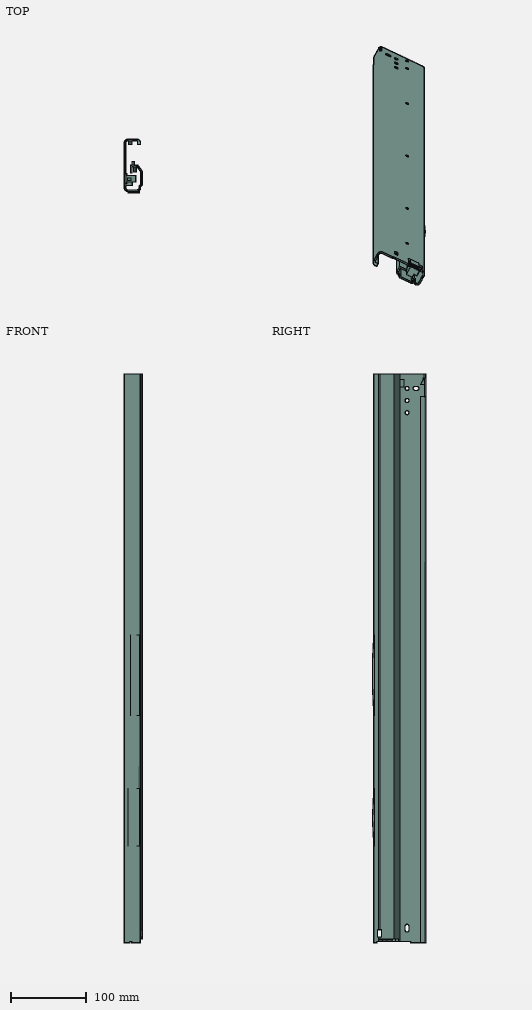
import cadquery as cq

LENGTH = 750.0
RAIL_WIDTH = 24.0
TOP_Y = 70.8
PAD_HEIGHT = 1.7
THICKNESS = 2.2
BEND_RADIUS = 5.0

BOTTOM_Y = PAD_HEIGHT
FLANGE_WIDTH = RAIL_WIDTH - THICKNESS
LIP_WIDTH = 4.5
LIP_BOTTOM_Y = 63.5
JOGGLE_START_Y = 8.0
JOGGLE_END_Y = JOGGLE_START_Y + THICKNESS
JOGGLE_INNER_SHIFT = 0.8
WALL_TOP_Y = 28.5
GUIDE_TOP_Y = 36.5
GUIDE_RIGHT_X = 18.0
GUIDE_LEFT_X = 8.3
GUIDE_LEG_BOTTOM_Y = 26.0
SLOPE_INNER_SHIFT = 1.0

PITCH = 32.0
HOLE_DIAMETER = 5.0
SCREW_HOLE_DIAMETER = 4.0
SCREW_ROW_Y = 29.7
FIRST_SCREW_Z = 75.0
SCREW_STEPS = (0, 4, 10, 16, 20)
END_SCREW_Z = 742.0
HOLE_ROW_Y = SCREW_ROW_Y + PITCH / 2
UPPER_SCREW_Z = FIRST_SCREW_Z + SCREW_STEPS[-1] * PITCH
UPPER_SLOT_Y = 57.5
UPPER_SLOT_LENGTH = 7.5
LOWER_SLOT_Z = 19.4
LOWER_SLOT_LENGTH = 10.0

PAD_END_X = 20.0
LONG_PAD = {"start_x": 8.3, "z": (300.0, 337.0, 373.0, 406.0)}
SHORT_PAD = {"start_x": 5.3, "z": (127.5, 162.5, 166.0, 203.5)}

STOP_BOTTOM_Z = 736.0
STOP_TOP_Z = 746.0
FLANGE_STOP_DEPTH = 5.0
FLANGE_STOP_X = (5.5, 10.5)
GUIDE_STOP_X = (12.0, 16.0)
GUIDE_STOP_DEPTH = 7.0
TAB_X = (10.3, 13.5)
TAB_TOP_Y = 41.5
TAB_Z = (733.0, 743.0)

FLANGE_CLEAR_X = 3.0
FLANGE_END_Z = 745.0
LIP_CLEAR_X = 16.8
LIP_END_Z = 720.0
BEND_SLOT_Y = (67.0, 69.2)
BEND_SLOT_Z = (737.5, 745.0)

END_NOTCH_Y = (6.0, 50.3)
END_NOTCH_DEPTH = 1.6
WALL_START_Z = 5.0
FLANGE_NOTCH_X = 8.6
FLANGE_NOTCH_WIDTH = 2.4

WINDOW_Y = (12.0, 27.5)
WINDOW_Z = (4.0, 22.0)
RELIEF_Y = (7.0, WINDOW_Y[0])
RELIEF_Z = (8.0, 17.0)
TONGUE_Y = (13.0, 19.5)
TONGUE_Z = (END_NOTCH_DEPTH, WINDOW_Z[0])
BUTTON_Y = (WINDOW_Y[0], 24.5)
BUTTON_BOTTOM_Z = 10.0
GRIP_RIB_HEIGHT = 1.0
GRIP_RIB_PITCH = 2.0
GRIP_RIB_COUNT = 3
GRIP_FLOOR_X = 1.0
PLATE_TOP_Y = 25.5
PLATE_THICKNESS = 1.5
FOOT_BOTTOM_Y = 9.5
HEAD_X = 15.5
HEAD_Y = (14.0, 23.0)
FOOT_X = 11.0
LATCH_POCKET_X = (4.5, 9.0)
LATCH_POCKET_Y = (16.5, 19.5)
LATCH_POCKET_DEPTH = 6.0


def block(x, y, z):
    """Box between the (low, high) pairs x, y and z."""
    solid = cq.Workplane("XY").box(x[1] - x[0], y[1] - y[0], z[1] - z[0], centered=False)
    return solid.translate((x[0], y[0], z[0]))


def side_prism(x, points):
    """Outline of (Y, Z) points, extruded over the (low, high) pair x."""
    return cq.Workplane("YZ").workplane(offset=x[0]).polyline(points).close().extrude(x[1] - x[0])


def rail_profile():
    outline = [
        (0, BOTTOM_Y),
        (FLANGE_WIDTH, BOTTOM_Y),
        (FLANGE_WIDTH, JOGGLE_START_Y),
        (RAIL_WIDTH, JOGGLE_END_Y),
        (RAIL_WIDTH, WALL_TOP_Y),
        (GUIDE_RIGHT_X, GUIDE_TOP_Y),
        (GUIDE_LEFT_X, GUIDE_TOP_Y),
        (GUIDE_LEFT_X, GUIDE_LEG_BOTTOM_Y),
        (GUIDE_LEFT_X + THICKNESS, GUIDE_LEG_BOTTOM_Y),
        (GUIDE_LEFT_X + THICKNESS, GUIDE_TOP_Y - THICKNESS),
        (GUIDE_RIGHT_X - SLOPE_INNER_SHIFT, GUIDE_TOP_Y - THICKNESS),
        (RAIL_WIDTH - THICKNESS, WALL_TOP_Y - SLOPE_INNER_SHIFT),
        (RAIL_WIDTH - THICKNESS, JOGGLE_END_Y + JOGGLE_INNER_SHIFT),
        (FLANGE_WIDTH - THICKNESS, JOGGLE_START_Y + JOGGLE_INNER_SHIFT),
        (FLANGE_WIDTH - THICKNESS, BOTTOM_Y + THICKNESS),
        (THICKNESS, BOTTOM_Y + THICKNESS),
        (THICKNESS, TOP_Y - THICKNESS),
        (FLANGE_WIDTH - LIP_WIDTH, TOP_Y - THICKNESS),
        (FLANGE_WIDTH - LIP_WIDTH, LIP_BOTTOM_Y),
        (FLANGE_WIDTH, LIP_BOTTOM_Y),
        (FLANGE_WIDTH, TOP_Y),
        (0, TOP_Y),
    ]
    profile = cq.Workplane("XY").polyline(outline).close().extrude(LENGTH)
    bends = [
        (0, BOTTOM_Y, BEND_RADIUS),
        (FLANGE_WIDTH, BOTTOM_Y, BEND_RADIUS),
        (FLANGE_WIDTH, TOP_Y, BEND_RADIUS),
        (0, TOP_Y, BEND_RADIUS),
        (THICKNESS, BOTTOM_Y + THICKNESS, BEND_RADIUS - THICKNESS),
        (FLANGE_WIDTH - THICKNESS, BOTTOM_Y + THICKNESS, BEND_RADIUS - THICKNESS),
        (THICKNESS, TOP_Y - THICKNESS, BEND_RADIUS - THICKNESS),
    ]
    for x, y, radius in bends:
        corner = cq.selectors.NearestToPointSelector((x, y, LENGTH / 2))
        profile = profile.edges("|Z").edges(corner).fillet(radius)
    return profile


def pressed_pad(start_x, z):
    """Ramped pad on the outer face of the lower flange; z holds foot, crest, crest, foot."""
    foot_low, crest_low, crest_high, foot_high = z
    root_y = BOTTOM_Y + THICKNESS / 2
    return side_prism(
        (start_x, PAD_END_X),
        [
            (root_y, foot_low),
            (BOTTOM_Y, foot_low),
            (0, crest_low),
            (0, crest_high),
            (BOTTOM_Y, foot_high),
            (root_y, foot_high),
        ],
    )


def pressed_stop(x, face_y, depth):
    """Wedge hanging from an inner face at face_y, with its ramp towards the upper end."""
    root_y = face_y + THICKNESS / 2
    return side_prism(
        x,
        [
            (root_y, STOP_BOTTOM_Z),
            (face_y - depth, STOP_BOTTOM_Z),
            (face_y, STOP_TOP_Z),
            (root_y, STOP_TOP_Z),
        ],
    )


def web_holes(diameter, places):
    through_web = cq.Workplane("YZ").pushPoints(places)
    return through_web.circle(diameter / 2).extrude(THICKNESS)


def web_slot(y, z, length, angle):
    """Slot through the web; angle 0 runs along Y and 90 along Z."""
    return cq.Workplane("YZ").center(y, z).slot2D(length, HOLE_DIAMETER, angle).extrude(THICKNESS)


def make_rail():
    rail = rail_profile()

    rail = rail.union(pressed_pad(**LONG_PAD)).union(pressed_pad(**SHORT_PAD))
    rail = rail.union(pressed_stop(FLANGE_STOP_X, TOP_Y - THICKNESS, FLANGE_STOP_DEPTH))
    rail = rail.union(pressed_stop(GUIDE_STOP_X, GUIDE_TOP_Y - THICKNESS, GUIDE_STOP_DEPTH))
    rail = rail.union(block(TAB_X, (GUIDE_TOP_Y - THICKNESS, TAB_TOP_Y), TAB_Z))

    flange_y = (LIP_BOTTOM_Y, TOP_Y)
    rail = rail.cut(block((FLANGE_CLEAR_X, RAIL_WIDTH), flange_y, (FLANGE_END_Z, LENGTH)))
    rail = rail.cut(block((LIP_CLEAR_X, RAIL_WIDTH), flange_y, (LIP_END_Z, LENGTH)))
    rail = rail.cut(block((0, THICKNESS), BEND_SLOT_Y, BEND_SLOT_Z))

    screw_places = [(SCREW_ROW_Y, FIRST_SCREW_Z + step * PITCH) for step in SCREW_STEPS]
    screw_places.append((SCREW_ROW_Y, END_SCREW_Z))
    hole_places = [(HOLE_ROW_Y, UPPER_SCREW_Z + step * PITCH / 2) for step in (-1, 0, 1)]
    rail = rail.cut(web_holes(SCREW_HOLE_DIAMETER, screw_places))
    rail = rail.cut(web_holes(HOLE_DIAMETER, hole_places))
    rail = rail.cut(web_slot(UPPER_SLOT_Y, UPPER_SCREW_Z + PITCH / 2, UPPER_SLOT_LENGTH, 0))
    rail = rail.cut(web_slot(HOLE_ROW_Y, LOWER_SLOT_Z, LOWER_SLOT_LENGTH, 90))

    web_x = (0, THICKNESS)
    rail = rail.cut(block(web_x, WINDOW_Y, WINDOW_Z))
    rail = rail.cut(block(web_x, TONGUE_Y, TONGUE_Z))
    rail = rail.cut(block((0, RAIL_WIDTH), RELIEF_Y, RELIEF_Z))

    wall_x = (FLANGE_WIDTH - THICKNESS, RAIL_WIDTH)
    notch_x = (FLANGE_NOTCH_X - FLANGE_NOTCH_WIDTH / 2, FLANGE_NOTCH_X + FLANGE_NOTCH_WIDTH / 2)
    rail = rail.cut(block((0, RAIL_WIDTH), END_NOTCH_Y, (0, END_NOTCH_DEPTH)))
    rail = rail.cut(block(wall_x, (JOGGLE_START_Y, GUIDE_TOP_Y), (0, WALL_START_Z)))
    rail = rail.cut(block(notch_x, (BOTTOM_Y, TOP_Y), (0, END_NOTCH_DEPTH)))
    return rail


def make_latch():
    low_z, high_z = WINDOW_Z

    plate_x = (THICKNESS, THICKNESS + PLATE_THICKNESS)
    latch = block(plate_x, (WINDOW_Y[0], PLATE_TOP_Y), WINDOW_Z)
    latch = latch.union(block((THICKNESS, HEAD_X), HEAD_Y, WINDOW_Z))
    latch = latch.union(block((THICKNESS, FOOT_X), (FOOT_BOTTOM_Y, HEAD_Y[0]), (low_z, RELIEF_Z[0])))

    latch = latch.union(block((0, THICKNESS), BUTTON_Y, (BUTTON_BOTTOM_Z, high_z)))
    latch = latch.union(block((GRIP_FLOOR_X, THICKNESS), BUTTON_Y, (low_z, BUTTON_BOTTOM_Z)))
    latch = latch.union(block((0, THICKNESS), TONGUE_Y, (TONGUE_Z[0], low_z + GRIP_RIB_HEIGHT)))
    for index in range(GRIP_RIB_COUNT):
        rib_z = low_z + GRIP_RIB_HEIGHT + index * GRIP_RIB_PITCH
        latch = latch.union(block((0, GRIP_FLOOR_X), BUTTON_Y, (rib_z, rib_z + GRIP_RIB_HEIGHT)))

    return latch.cut(block(LATCH_POCKET_X, LATCH_POCKET_Y, (high_z - LATCH_POCKET_DEPTH, high_z)))


rail = make_rail()
latch = make_latch()
result = cq.Compound.makeCompound([rail.val(), latch.val()])